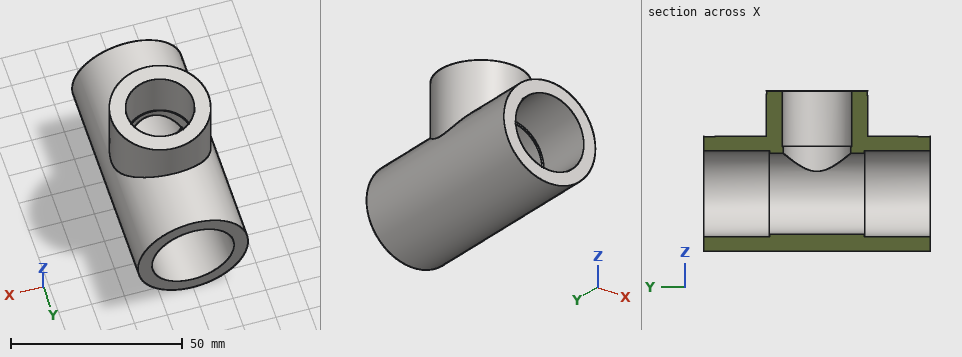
import cadquery as cq

run_length = 66.0
run_diameter = 33.5
run_socket_diameter = 24.95
run_bore_diameter = 23.5
run_socket_depth = 19.15

branch_height = 29.95
branch_diameter = 29.6
branch_socket_diameter = 20.05
branch_bore_diameter = 19.55
branch_socket_depth = 16.2

run = cq.Workplane("XZ").circle(run_diameter / 2).extrude(run_length / 2, both=True)
branch = cq.Workplane("XY").circle(branch_diameter / 2).extrude(branch_height)
tee = run.union(branch)

run_bore = cq.Workplane("XZ").circle(run_bore_diameter / 2).extrude(run_length / 2, both=True)
branch_bore = cq.Workplane("XY").circle(branch_bore_diameter / 2).extrude(branch_height)
tee = tee.cut(run_bore).cut(branch_bore)

for mouth_y in (-run_length / 2, run_length / 2):
    inward = 1 if mouth_y < 0 else -1
    mouth = cq.Plane(origin=(0, mouth_y, 0), xDir=(1, 0, 0), normal=(0, inward, 0))
    run_socket = cq.Workplane(mouth).circle(run_socket_diameter / 2).extrude(run_socket_depth)
    tee = tee.cut(run_socket)

branch_socket = (
    cq.Workplane("XY")
    .workplane(offset=branch_height)
    .circle(branch_socket_diameter / 2)
    .extrude(-branch_socket_depth)
)
result = tee.cut(branch_socket)